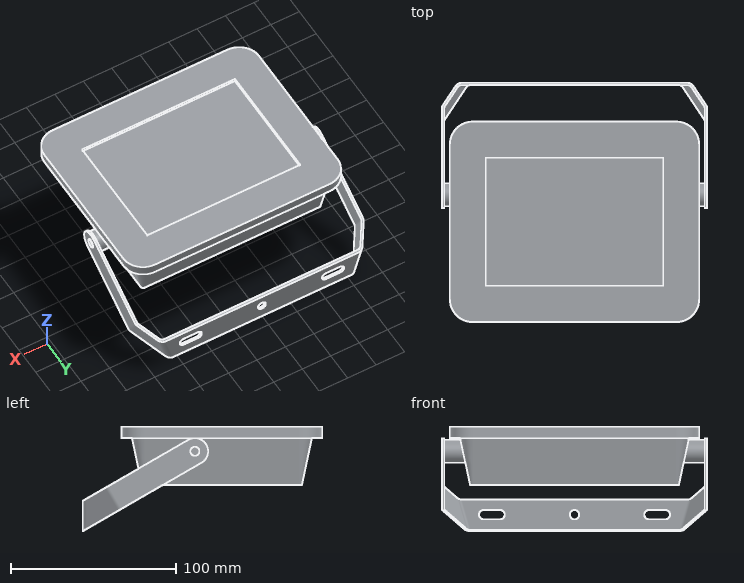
import cadquery as cq
import math

PLATE_LENGTH = 151.0
PLATE_WIDTH = 121.5
PLATE_THICKNESS = 7.0
PLATE_CORNER_RADIUS = 14.0
BODY_INSET = 6.25
BODY_DEPTH = 28.5
BODY_TAPER = 12.0
WINDOW_LENGTH = 107.5
WINDOW_WIDTH = 77.5
WINDOW_DEPTH = 2.0

PIVOT_Y = 16.35
PIVOT_Z = -15.0
BOSS_DIAMETER = 14.0
BOSS_ROOT_X = 60.0

TILT = 30.0
BRACKET_SPAN = 160.5
STRIP_WIDTH = 16.0
STRIP_THICKNESS = 1.5
ARM_LENGTH = 57.0
BEND_ANGLE = 30.0
WEB_REACH = 67.88
ARM_BEND_INNER_RADIUS = 2.5
WEB_BEND_INNER_RADIUS = 2.5

HOLE_DIAMETER = 5.5
SLOT_LENGTH = 15.5
SLOT_SPACING = 100.0

ENVELOPE_HEIGHT = 2.5 * STRIP_WIDTH
ENVELOPE_LENGTH = 1.5 * WEB_REACH
ENVELOPE_TAIL = 2 * STRIP_WIDTH
BEND_SEARCH_MARGIN = 1.0


def rounded_block(length, width, corner_radius, height, taper=0.0):
    """Rounded rectangle extruded downwards from Z = 0, narrowing by the taper angle."""
    outline = cq.Sketch().rect(length, width).vertices().fillet(corner_radius)
    return cq.Workplane("XY").placeSketch(outline).extrude(-height, taper=taper)


def make_housing():
    plate = rounded_block(PLATE_LENGTH, PLATE_WIDTH, PLATE_CORNER_RADIUS, PLATE_THICKNESS)
    body = rounded_block(
        PLATE_LENGTH - 2 * BODY_INSET,
        PLATE_WIDTH - 2 * BODY_INSET,
        PLATE_CORNER_RADIUS - BODY_INSET,
        BODY_DEPTH,
        BODY_TAPER,
    ).translate((0, 0, -PLATE_THICKNESS))
    window = cq.Workplane("XY").rect(WINDOW_LENGTH, WINDOW_WIDTH).extrude(-WINDOW_DEPTH)
    housing = plate.union(body).cut(window)

    boss_length = BRACKET_SPAN / 2 - STRIP_THICKNESS - BOSS_ROOT_X
    for side in (-1, 1):
        boss = (
            cq.Workplane("YZ", origin=(side * BOSS_ROOT_X, PIVOT_Y, PIVOT_Z))
            .circle(BOSS_DIAMETER / 2)
            .extrude(side * boss_length)
        )
        housing = housing.union(boss)
    return housing


def place_on_pivot(shape):
    """Tilt a shape built around the origin and move it to the pivot axis."""
    return shape.rotate((0, 0, 0), (1, 0, 0), -TILT).translate((0, PIVOT_Y, PIVOT_Z))


def bracket_envelope(inset, arm_bend_radius, web_bend_radius):
    """Solid bounded by the bracket's outer faces moved inwards by the inset."""
    half_span = BRACKET_SPAN / 2 - inset
    bend_y = ARM_LENGTH - inset * math.tan(math.radians(BEND_ANGLE / 2))
    end_half_span = half_span - (ENVELOPE_LENGTH - bend_y) * math.tan(math.radians(BEND_ANGLE))
    prism = (
        cq.Workplane("XY")
        .polyline([
            (-half_span, -ENVELOPE_TAIL),
            (half_span, -ENVELOPE_TAIL),
            (half_span, bend_y),
            (end_half_span, ENVELOPE_LENGTH),
            (-end_half_span, ENVELOPE_LENGTH),
            (-half_span, bend_y),
        ])
        .close()
        .extrude(ENVELOPE_HEIGHT / 2, both=True)
    )
    arm_bends = cq.selectors.BoxSelector(
        (-BRACKET_SPAN, bend_y - BEND_SEARCH_MARGIN, -BEND_SEARCH_MARGIN),
        (BRACKET_SPAN, bend_y + BEND_SEARCH_MARGIN, BEND_SEARCH_MARGIN),
    )
    prism = place_on_pivot(prism.edges("|Z").edges(arm_bends).fillet(arm_bend_radius))

    web_y = PIVOT_Y + WEB_REACH - inset
    behind_web = (
        cq.Workplane("XZ", origin=(0, web_y, PIVOT_Z))
        .rect(2 * BRACKET_SPAN, 2 * BRACKET_SPAN)
        .extrude(-ENVELOPE_LENGTH)
    )
    envelope = prism.cut(behind_web)
    return envelope.faces(">Y").edges("<X or >X").fillet(web_bend_radius)


def strip_outline():
    """Side outline of the strip: constant width with a round end about the pivot."""
    radius = STRIP_WIDTH / 2
    outline = (
        cq.Workplane("YZ")
        .moveTo(0, radius)
        .threePointArc((-radius, 0), (0, -radius))
        .lineTo(ENVELOPE_LENGTH, -radius)
        .lineTo(ENVELOPE_LENGTH, radius)
        .close()
        .extrude(BRACKET_SPAN, both=True)
    )
    return place_on_pivot(outline)


def make_bracket():
    outer = bracket_envelope(
        0,
        ARM_BEND_INNER_RADIUS + STRIP_THICKNESS,
        WEB_BEND_INNER_RADIUS + STRIP_THICKNESS,
    )
    inner = bracket_envelope(STRIP_THICKNESS, ARM_BEND_INNER_RADIUS, WEB_BEND_INNER_RADIUS)
    bracket = outer.cut(inner).intersect(strip_outline())

    pivot_holes = (
        cq.Workplane("YZ", origin=(0, PIVOT_Y, PIVOT_Z))
        .circle(HOLE_DIAMETER / 2)
        .extrude(BRACKET_SPAN, both=True)
    )

    web_inner_reach = WEB_REACH - STRIP_THICKNESS
    web_z = PIVOT_Z - web_inner_reach * math.tan(math.radians(TILT))
    web_plane = cq.Workplane("XZ", origin=(0, PIVOT_Y + web_inner_reach, web_z))
    web_hole = web_plane.circle(HOLE_DIAMETER / 2).extrude(STRIP_THICKNESS, both=True)
    web_slots = (
        web_plane.pushPoints([(-SLOT_SPACING / 2, 0), (SLOT_SPACING / 2, 0)])
        .slot2D(SLOT_LENGTH, HOLE_DIAMETER)
        .extrude(STRIP_THICKNESS, both=True)
    )
    return bracket.cut(pivot_holes).cut(web_hole).cut(web_slots)


housing = make_housing()
bracket = make_bracket()

result = cq.Compound.makeCompound([housing.solids().val(), bracket.solids().val()])